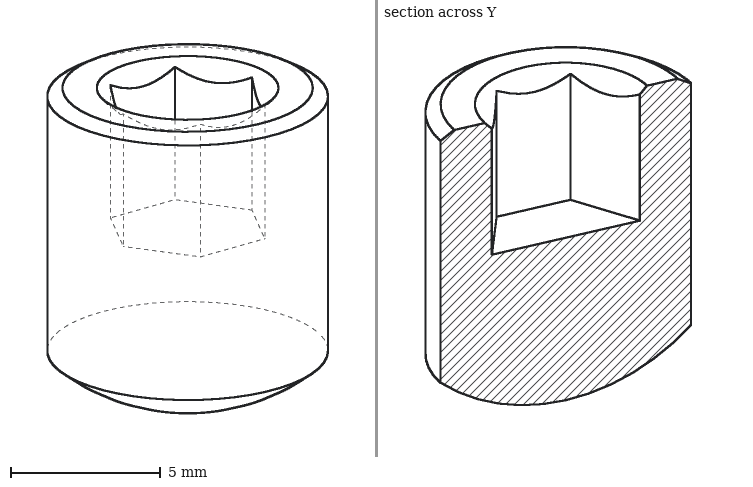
import cadquery as cq
import math

height = 11.1
body_radius = 9.37 / 2
dome_height = 1.74

chamfer_width = 0.51
chamfer_angle = 30.0
chamfer_drop = chamfer_width * math.tan(math.radians(chamfer_angle))

hex_across_flats = 4.77
hex_across_corners = hex_across_flats / math.cos(math.radians(30))
socket_depth = 5.0
countersink_radius = 3.03

dome_radius = (body_radius**2 + dome_height**2) / (2 * dome_height)


def make_body():
    """Revolve the half outline: domed bottom, straight side, chamfered top."""
    mid_radius = body_radius / 2
    mid_height = dome_radius - math.sqrt(dome_radius**2 - mid_radius**2)
    return (
        cq.Workplane("XZ")
        .moveTo(0, 0)
        .threePointArc((mid_radius, mid_height), (body_radius, dome_height))
        .lineTo(body_radius, height - chamfer_drop)
        .lineTo(body_radius - chamfer_width, height)
        .lineTo(0, height)
        .close()
        .revolve(360, (0, 0, 0), (0, 1, 0))
    )


def make_socket():
    """Hexagonal recess with two corners on the X axis."""
    return (
        cq.Workplane("XY", origin=(0, 0, height))
        .polygon(6, hex_across_corners)
        .extrude(-socket_depth)
    )


def make_countersink():
    """Cone whose depth equals its radius at the top face."""
    return cq.Workplane(
        cq.Solid.makeCone(
            0, countersink_radius, countersink_radius,
            pnt=cq.Vector(0, 0, height - countersink_radius),
        )
    )


result = make_body().cut(make_socket()).cut(make_countersink())